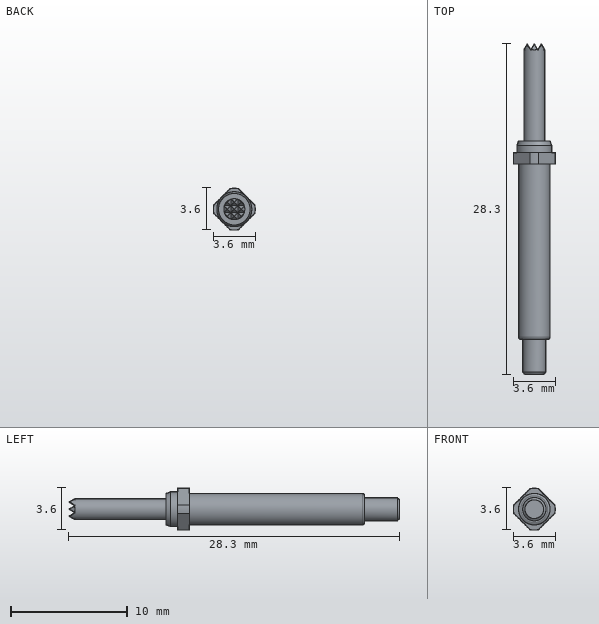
import cadquery as cq
import math

overall_length = 28.3
barrel_length = 15.0
pin_length = 3.0
flange_thickness = 1.0
collar_length = 1.0

pin_radius = 1.0
barrel_radius = 1.35
plunger_radius = 0.9

pin_chamfer = 0.2
barrel_fillet = 0.2
collar_taper_length = 0.4

flange_across_flats = 3.0
flange_corner_radius = 1.8
flange_turn = 45.0

points_per_row = 3
point_pitch = 0.6
groove_angle = 60.0

collar_radius = flange_across_flats / 2

barrel_end = -barrel_length
pin_end = barrel_end - pin_length
collar_end = flange_thickness + collar_length
tip = pin_end + overall_length
groove_depth = point_pitch / 2 / math.tan(math.radians(groove_angle / 2))


def turned_body():
    """Pin, barrel, collar and plunger as one revolved profile about Y."""
    return (
        cq.Workplane("XY")
        .moveTo(0, pin_end)
        .lineTo(pin_radius - pin_chamfer, pin_end)
        .lineTo(pin_radius, pin_end + pin_chamfer)
        .lineTo(pin_radius, barrel_end)
        .lineTo(barrel_radius - barrel_fillet, barrel_end)
        .radiusArc((barrel_radius, barrel_end + barrel_fillet), -barrel_fillet)
        .lineTo(barrel_radius, flange_thickness)
        .lineTo(collar_radius, flange_thickness)
        .lineTo(collar_radius, collar_end - collar_taper_length)
        .lineTo(barrel_radius, collar_end)
        .lineTo(plunger_radius, collar_end)
        .lineTo(plunger_radius, tip)
        .lineTo(0, tip)
        .close()
        .revolve(360, (0, 0, 0), (0, 1, 0))
    )


def square_flange():
    """Square plate standing on a corner, rounded by the trimming circle."""
    square = (
        cq.Workplane("XZ")
        .transformed(rotate=(0, 0, flange_turn))
        .rect(flange_across_flats, flange_across_flats)
        .extrude(-flange_thickness)
    )
    disc = cq.Workplane("XZ").circle(flange_corner_radius).extrude(-flange_thickness)
    return square.intersect(disc)


def crown_groove(offset):
    """V groove running along Z through the tip, centred at X = offset."""
    half_width = point_pitch / 2
    return (
        cq.Workplane("XY")
        .moveTo(offset - half_width, tip)
        .lineTo(offset, tip - groove_depth)
        .lineTo(offset + half_width, tip)
        .close()
        .extrude(2 * plunger_radius, both=True)
    )


def cut_crown(body):
    """Cut the grooves in both directions, leaving the grid of points."""
    for index in range(points_per_row + 1):
        groove = crown_groove((index - points_per_row / 2) * point_pitch)
        crossing_groove = groove.rotate((0, 0, 0), (0, 1, 0), 90)
        body = body.cut(groove).cut(crossing_groove)
    return body


result = cut_crown(turned_body().union(square_flange()))